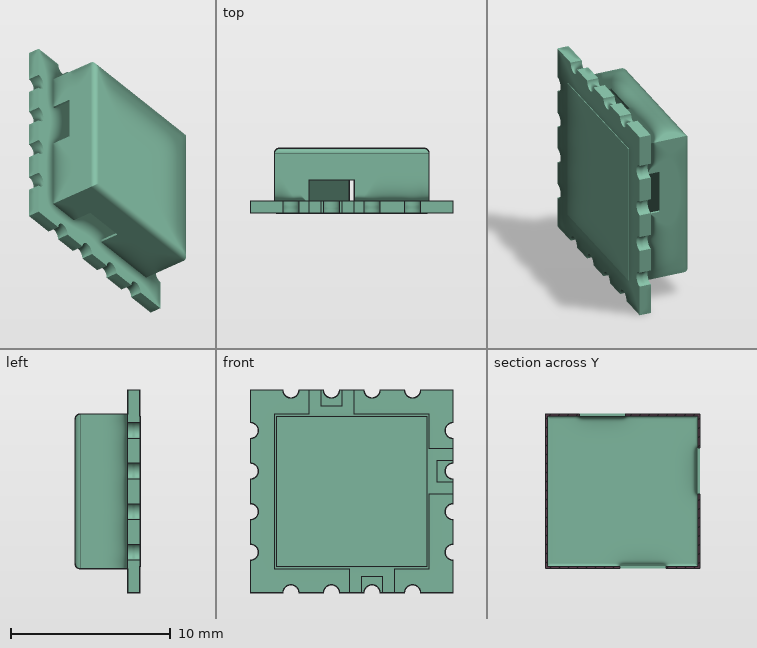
import cadquery as cq

BOARD_SIDE = 12.7
BOARD_THICKNESS = 0.76
TOTAL_DEPTH = 4.1

PATCH_SIDE = 9.4
PATCH_THICKNESS = 0.04

COVER_SIDE = 9.7
COVER_WALL = 0.15
COVER_EDGE_RADIUS = 0.33
WINDOW_HEIGHT = 1.3

NOTCH_PITCH = 2.54
NOTCHES_PER_SIDE = 4
NOTCH_RADIUS = 0.5

CHANNEL_WIDTH = 2.85
PAD_WIDTH = 1.33
PAD_LENGTH = 1.02

HALF_BOARD = BOARD_SIDE / 2
HALF_COVER = COVER_SIDE / 2
COVER_DEPTH = TOTAL_DEPTH - PATCH_THICKNESS - BOARD_THICKNESS

PATCH_FRONT = -TOTAL_DEPTH / 2
BOARD_FRONT = PATCH_FRONT + PATCH_THICKNESS
COVER_FRONT = BOARD_FRONT + BOARD_THICKNESS

CHANNEL_X = -NOTCH_PITCH / 2

ALL_SIDES = (0, 90, 180, 270)
CHANNEL_SIDES = ALL_SIDES[:3]


def block(x_range, z_range, front, depth):
    """Box over the given X and Z ranges, reaching from Y = front toward +Y."""
    x_start, x_end = x_range
    z_start, z_end = z_range
    size = (x_end - x_start, depth, z_end - z_start)
    return cq.Workplane("XY").box(*size, centered=False).translate((x_start, front, z_start))


def square_block(side, front, depth):
    """Square box centred on the Y axis."""
    span = (-side / 2, side / 2)
    return block(span, span, front, depth)


def channel_block(width, z_start, z_end, front, depth):
    """Box in line with the channel of the +Z side."""
    x_range = (CHANNEL_X - width / 2, CHANNEL_X + width / 2)
    return block(x_range, (z_start, z_end), front, depth)


def turned(shape, angle):
    """Copy of a shape turned about the Y axis."""
    return shape.rotate((0, 0, 0), (0, 1, 0), angle)


def make_notch_cutters():
    """Round rods along Y, centred on the board edge, four on every side."""
    first_x = -NOTCH_PITCH * (NOTCHES_PER_SIDE - 1) / 2
    points = [(first_x + i * NOTCH_PITCH, HALF_BOARD) for i in range(NOTCHES_PER_SIDE)]
    rods = (
        cq.Workplane("XZ", origin=(0, BOARD_FRONT, 0))
        .pushPoints(points)
        .circle(NOTCH_RADIUS)
        .extrude(-BOARD_THICKNESS)
    )
    cutters = cq.Workplane("XY")
    for angle in ALL_SIDES:
        cutters = cutters.add(turned(rods, angle))
    return cutters.combine()


def make_channel_blank():
    """Channel of the +Z side, from the middle of the board to its edge."""
    return channel_block(CHANNEL_WIDTH, 0, HALF_BOARD, BOARD_FRONT, BOARD_THICKNESS)


def make_pad_blank():
    """Signal pad of the +Z side, before notching."""
    return channel_block(PAD_WIDTH, HALF_BOARD - PAD_LENGTH, HALF_BOARD, BOARD_FRONT, BOARD_THICKNESS)


def make_substrate(notches):
    """Square middle of the board with a channel to three sides, open around each signal pad."""
    substrate = square_block(COVER_SIDE, BOARD_FRONT, BOARD_THICKNESS)
    for angle in CHANNEL_SIDES:
        substrate = substrate.union(turned(make_channel_blank(), angle))
    for angle in CHANNEL_SIDES:
        substrate = substrate.cut(turned(make_pad_blank(), angle))
    return substrate.cut(notches)


def make_signal_pads(notches):
    """One signal pad at the outer end of each channel."""
    return [turned(make_pad_blank(), angle).cut(notches).val() for angle in CHANNEL_SIDES]


def make_grounds(notches):
    """Three separate ground pieces: the board border, parted by the channels."""
    border = square_block(BOARD_SIDE, BOARD_FRONT, BOARD_THICKNESS)
    border = border.cut(square_block(COVER_SIDE, BOARD_FRONT, BOARD_THICKNESS))
    for angle in CHANNEL_SIDES:
        border = border.cut(turned(make_channel_blank(), angle))
    return border.cut(notches).solids().vals()


def make_patch():
    """Thin square plate on the front of the substrate."""
    return square_block(PATCH_SIDE, PATCH_FRONT, PATCH_THICKNESS)


def make_cover():
    """Hollow can, open toward the board, with a window over each channel."""
    cover = square_block(COVER_SIDE, COVER_FRONT, COVER_DEPTH)
    cover = cover.faces(">Y").edges().fillet(COVER_EDGE_RADIUS)
    cavity = square_block(COVER_SIDE - 2 * COVER_WALL, COVER_FRONT, COVER_DEPTH - COVER_WALL)
    cavity = cavity.faces(">Y").edges().fillet(COVER_EDGE_RADIUS - COVER_WALL)
    cover = cover.cut(cavity)
    window = channel_block(
        CHANNEL_WIDTH, HALF_COVER - COVER_WALL, HALF_COVER, COVER_FRONT, WINDOW_HEIGHT
    )
    for angle in CHANNEL_SIDES:
        cover = cover.cut(turned(window, angle))
    return cover


notch_cutters = make_notch_cutters()
substrate = make_substrate(notch_cutters)
signal_pads = make_signal_pads(notch_cutters)
grounds = make_grounds(notch_cutters)
patch = make_patch()
cover = make_cover()

result = cq.Compound.makeCompound(
    [substrate.val(), *signal_pads, *grounds, patch.val(), cover.val()]
)